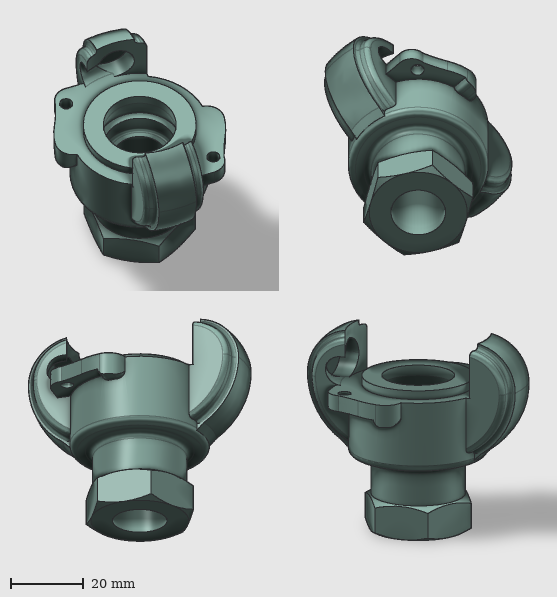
import cadquery as cq
import math

hex_top = 9.8
flange_bottom = 21.05
plate_bottom = 36.45
plate_top = 41.0
face_top = 43.45
total_height = 55.8

hex_corner_dia = 31.1
hex_chamfer_angle = 30.0
neck_radius = 13.0
neck_fillet = 2.0
body_radius = 19.25
body_round = 2.0
face_radius = 15.505

mouth_radius = 9.995
mouth_bottom = 40.5
cavity_radius = 12.0
cavity_floor = 33.85
cavity_flare_radius = 17.3
seat_radius = 9.995
seat_floor = 29.0
seat_fillet = 1.05
through_radius = 7.5

arm_reach = 30.95
arm_center_z = 42.8
arm_upper_radius = 13.25
arm_lower_radius = 22.3
arm_inner_radius = 20.2
arm_root_radius = 14.85
arm_root_z = 21.8
arm_knee_z = 24.4
band_width = 11.0
arm_width = 17.45
shoulder_step = 1.55
shoulder_round = 1.55
shoulder_fillet = 1.05

flatness = 0.005

groove_round = 4.1
pocket_outer_radius = 25.5
recess_radius = 5.5

lug_side_x = 20.9
lug_corner_radius = 4.45
lug_corner_y = 14.2
lug_hole_dia = 3.5
lug_hole_xy = 15.8
lug_root_x = -2.05
tip_start_y = 19.3
tip_middle = (0.5, 22.9)
tip_end = (3.9, 23.4)
shoulder_middle = (7.1, 22.6)
shoulder_end = (9.8, 21.4)
waist_middle = (13.2, 19.85)
hook_bottom = 34.6
hook_end_x = 4.65
hook_round = 2.2


def turn(profile):
    """Revolve an XZ profile a full turn about the Z axis."""
    return profile.close().revolve(360, (0, 0, 0), (0, 1, 0))


def both_sides(shape):
    """The shape together with its half-turn copy about the Z axis."""
    return shape.union(shape.rotate((0, 0, 0), (0, 0, 1), 180))


def make_hexagon():
    """Hexagon with conical chamfers, the upper one starting at the neck."""
    prism = cq.Workplane("XY").polygon(6, hex_corner_dia).extrude(hex_top)
    corner_radius = hex_corner_dia / 2
    flat_radius = corner_radius * math.cos(math.radians(30))
    chamfer_slope = math.tan(math.radians(hex_chamfer_angle))
    bottom_rise = (corner_radius - flat_radius) * chamfer_slope
    top_drop = (corner_radius - neck_radius) * chamfer_slope
    envelope = turn(
        cq.Workplane("XZ")
        .lineTo(flat_radius, 0)
        .lineTo(corner_radius, bottom_rise)
        .lineTo(corner_radius, hex_top - top_drop)
        .lineTo(neck_radius, hex_top)
        .lineTo(0, hex_top)
    )
    return prism.intersect(envelope)


def make_body():
    return turn(
        cq.Workplane("XZ")
        .moveTo(0, hex_top)
        .lineTo(neck_radius, hex_top)
        .lineTo(neck_radius, flange_bottom - neck_fillet)
        .radiusArc((neck_radius + neck_fillet, flange_bottom), neck_fillet)
        .lineTo(body_radius - body_round, flange_bottom)
        .radiusArc((body_radius, flange_bottom + body_round), -body_round)
        .lineTo(body_radius, plate_top)
        .lineTo(face_radius, plate_top)
        .lineTo(face_radius, face_top)
        .lineTo(0, face_top)
    )


def trim_to_width(ring, width):
    return ring.intersect(cq.Workplane("XY").box(3 * arm_reach, width, 3 * total_height))


def lower_arc_radius_at_knee(inset):
    """Distance from the Z axis at which the lower arc of the arm meets the knee height."""
    radius = arm_lower_radius - inset
    return arm_reach - arm_lower_radius + math.sqrt(radius**2 - (arm_center_z - arm_knee_z) ** 2)


def make_arm_pair(width, inset):
    """Both arms at one width in Y, the outer surface moved inward by inset."""
    reach = arm_reach - inset
    upper_radius = arm_upper_radius - inset
    tip_run = arm_inner_radius - (arm_reach - arm_upper_radius)
    tip_z = arm_center_z + math.sqrt(upper_radius**2 - tip_run**2)
    ring = turn(
        cq.Workplane("XZ")
        .moveTo(arm_root_radius, arm_knee_z)
        .lineTo(lower_arc_radius_at_knee(inset), arm_knee_z)
        .radiusArc((reach, arm_center_z), inset - arm_lower_radius)
        .radiusArc((arm_inner_radius, tip_z), -upper_radius)
        .lineTo(arm_inner_radius, plate_top)
        .lineTo(arm_root_radius, plate_top)
    )
    return trim_to_width(ring, width)


def make_arm_feet():
    """Sloped foot that runs each arm's band out into the flange."""
    knee_r = lower_arc_radius_at_knee(0)
    ring = turn(
        cq.Workplane("XZ")
        .moveTo(arm_root_radius, arm_root_z)
        .lineTo(knee_r - (arm_knee_z - arm_root_z), arm_root_z)
        .lineTo(knee_r, arm_knee_z)
        .lineTo(arm_root_radius, arm_knee_z)
    )
    return trim_to_width(ring, band_width)


def rim_edges(solid, half_width, reach):
    """Curved outer edges in the two planes Y = +-half_width that stay within reach of the Z axis."""

    def on_rim(edge):
        points = [edge.positionAt(t) for t in (0, 0.5, 1)]
        in_plane = all(abs(abs(p.y) - half_width) < flatness for p in points)
        in_reach = all(math.hypot(p.x, p.y) < reach + flatness for p in points)
        outside = abs(points[1].x) > body_radius
        return in_plane and in_reach and outside and edge.geomType() != "LINE"

    return [edge for edge in solid.edges().vals() if on_rim(edge)]


def make_arms():
    band = make_arm_pair(band_width, 0)
    sides = make_arm_pair(arm_width, shoulder_step)
    sides = sides.newObject(rim_edges(sides, arm_width / 2, arm_reach)).fillet(shoulder_round)
    arms = band.union(sides)
    step_reach = arm_reach - shoulder_step
    arms = arms.newObject(rim_edges(arms, band_width / 2, step_reach)).fillet(shoulder_fillet)
    return arms.cut(both_sides(make_pocket()))


def make_pocket():
    """Pocket in the -X arm: a curved groove entering from -Y and a larger round recess at its end."""
    groove_r = pocket_outer_radius - groove_round
    groove_z = plate_top + groove_round
    groove_top = plate_top + 2 * groove_round
    ring = turn(
        cq.Workplane("XZ")
        .moveTo(arm_root_radius, plate_top)
        .lineTo(groove_r, plate_top)
        .threePointArc((pocket_outer_radius, groove_z), (groove_r, groove_top))
        .lineTo(arm_root_radius, groove_top)
    )
    entry = cq.Workplane("XY").box(arm_reach, arm_width, total_height, centered=False)
    groove = ring.intersect(entry.translate((-arm_reach, -arm_width, 0)))
    recess_z = plate_top + recess_radius
    bore = cq.Workplane("YZ").center(0, recess_z).circle(recess_radius).extrude(-arm_reach)
    recess = bore.intersect(cq.Workplane("XY").circle(pocket_outer_radius).extrude(total_height))
    return groove.union(recess)


def make_lug():
    """Lug on the +X +Y side: a plate with a deeper hook at its tip and a pin hole."""
    outline = (
        cq.Workplane("XY", origin=(0, 0, hook_bottom))
        .moveTo(lug_root_x, 0)
        .lineTo(lug_root_x, tip_start_y)
        .threePointArc(tip_middle, tip_end)
        .threePointArc(shoulder_middle, shoulder_end)
        .threePointArc(waist_middle, (lug_side_x - lug_corner_radius, lug_corner_y + lug_corner_radius))
        .radiusArc((lug_side_x, lug_corner_y), lug_corner_radius)
        .lineTo(lug_side_x, 0)
        .close()
        .extrude(plate_top - hook_bottom)
    )
    plate = cq.Workplane("XY", origin=(0, 0, plate_bottom)).rect(arm_reach * 2, arm_reach * 2)
    plate = plate.extrude(plate_top - plate_bottom)
    hook = (
        cq.Workplane("XY", origin=(lug_root_x, 0, hook_bottom))
        .box(hook_end_x - lug_root_x, arm_reach, plate_top - hook_bottom, centered=False)
        .edges("|Y and <Z")
        .fillet(hook_round)
    )
    pin_hole = cq.Workplane("XY").center(lug_hole_xy, lug_hole_xy).circle(lug_hole_dia / 2).extrude(total_height)
    return outline.intersect(plate.union(hook)).cut(pin_hole)


def make_bore():
    return turn(
        cq.Workplane("XZ")
        .lineTo(through_radius, 0)
        .lineTo(through_radius, seat_floor)
        .lineTo(seat_radius - seat_fillet, seat_floor)
        .radiusArc((seat_radius, seat_floor + seat_fillet), -seat_fillet)
        .lineTo(seat_radius, cavity_floor)
        .lineTo(cavity_radius, cavity_floor)
        .radiusArc((mouth_radius, mouth_bottom), cavity_flare_radius)
        .lineTo(mouth_radius, face_top)
        .lineTo(0, face_top)
    )


result = (
    make_hexagon()
    .union(make_body())
    .union(make_arms())
    .union(make_arm_feet())
    .union(both_sides(make_lug()))
    .cut(make_bore())
)